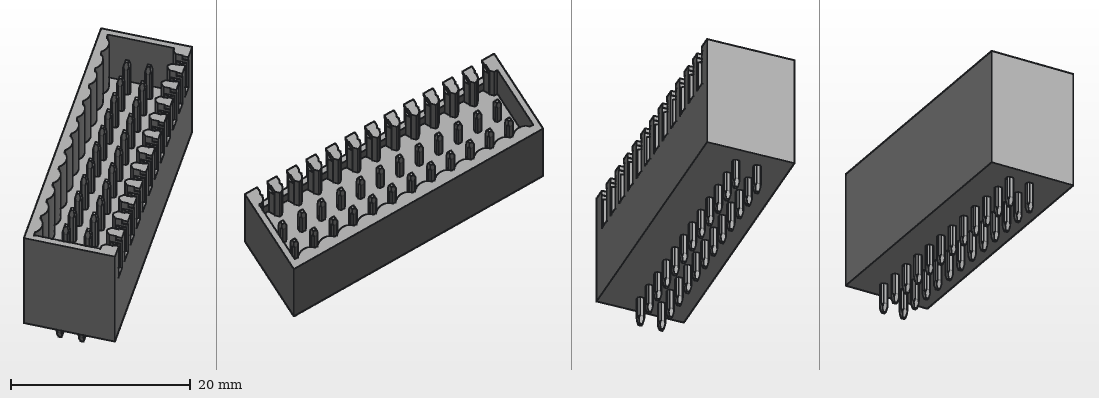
import cadquery as cq

LENGTH = 32.45
WIDTH = 10.5
HEIGHT = 14.2
END_WALL = 0.7
CLOSED_WALL = 0.97
CAVITY_FLOOR = 7.07

POSITIONS = 12
END_TO_END = 27.93
PITCH = END_TO_END / (POSITIONS - 1)
FIRST_ROW_X = 3.6
ROW_X = (FIRST_ROW_X, FIRST_ROW_X + PITCH)

BUMP_CHORD = 2.2
BUMP_RISE = 0.52

TOOTH_TIP_X = 8.63
TOOTH_CHAMFER = 0.4
SLOT_HALF = 0.75
SLOT_MOUTH_HALF = 0.65
SILL_X = 9.83
SILL_Z = 9.08
MOUTH_LIP_HEIGHT = 0.6

RIB_X = 9.73
RIB_HALF_BASE = 0.6
RIB_RISE = 0.32
RIB_TOP_DROP = 1.1

PIN_SIZE = 0.8
PIN_EDGE_CHAMFER = 0.2
PIN_TIP_SIZE = 0.35
PIN_POINT_LENGTH = 1.0
PIN_BOTTOM = -3.5
PIN_TOP = 12.2


def prism(points, bottom, top):
    """Extrude a closed plan outline between two heights."""
    return cq.Workplane("XY").workplane(offset=bottom).polyline(points).close().extrude(top - bottom)


def block(x_start, x_end, half_width, bottom, top):
    """Rectangular block centred on Y = 0."""
    size = (x_end - x_start, 2 * half_width, top - bottom)
    corner = (x_start, -half_width, bottom)
    return cq.Workplane("XY").box(*size, centered=False).translate(corner)


def at_each_position(feature, x=0):
    """Copies of a feature, made around Y = 0, at every contact position."""
    solid = feature.val()
    return (
        cq.Workplane("XY")
        .center(x, 0)
        .rarray(0.32, PITCH, 1, POSITIONS)
        .eachpoint(lambda place: solid.moved(place))
    )


def wall_bump():
    half = BUMP_CHORD / 2
    return (
        cq.Workplane("XY")
        .workplane(offset=CAVITY_FLOOR)
        .moveTo(CLOSED_WALL, -half)
        .threePointArc((CLOSED_WALL + BUMP_RISE, 0), (CLOSED_WALL, half))
        .close()
        .extrude(HEIGHT - CAVITY_FLOOR)
    )


def slot():
    """Slot through the +X wall, flared into the cavity and closed by a sill near its foot."""
    flare_end = TOOTH_TIP_X + TOOTH_CHAMFER
    flare_half = SLOT_HALF + TOOTH_CHAMFER
    inner = prism(
        [
            (TOOTH_TIP_X, -flare_half),
            (flare_end, -SLOT_HALF),
            (SILL_X, -SLOT_HALF),
            (SILL_X, SLOT_HALF),
            (flare_end, SLOT_HALF),
            (TOOTH_TIP_X, flare_half),
        ],
        CAVITY_FLOOR,
        HEIGHT,
    )
    outer = block(SILL_X, WIDTH, SLOT_HALF, SILL_Z, HEIGHT - MOUTH_LIP_HEIGHT)
    mouth = block(SILL_X, WIDTH, SLOT_MOUTH_HALF, SILL_Z, HEIGHT)
    return inner.union(outer).union(mouth)


def slot_rib(side):
    """Rib on one flank of a slot; side is +1 or -1."""
    flank = side * SLOT_HALF
    return prism(
        [
            (RIB_X - RIB_HALF_BASE, flank),
            (RIB_X, flank - side * RIB_RISE),
            (RIB_X + RIB_HALF_BASE, flank),
        ],
        CAVITY_FLOOR,
        HEIGHT - RIB_TOP_DROP,
    )


def pin_point(height, length):
    """Square frustum tapering from the full pin size to the tip; negative length points down."""
    direction = 1 if length > 0 else -1
    return (
        cq.Workplane(cq.Plane((0, 0, height), xDir=(1, 0, 0), normal=(0, 0, direction)))
        .rect(PIN_SIZE, PIN_SIZE)
        .workplane(offset=abs(length))
        .rect(PIN_TIP_SIZE, PIN_TIP_SIZE)
        .loft()
    )


def make_pin():
    shank_bottom = PIN_BOTTOM + PIN_POINT_LENGTH
    shank_top = PIN_TOP - PIN_POINT_LENGTH
    half = PIN_SIZE / 2
    pointed = (
        block(-half, half, half, shank_bottom, shank_top)
        .union(pin_point(shank_top, PIN_POINT_LENGTH))
        .union(pin_point(shank_bottom, -PIN_POINT_LENGTH))
    )
    wire = block(-half, half, half, PIN_BOTTOM, PIN_TOP).edges("|Z").chamfer(PIN_EDGE_CHAMFER)
    return wire.intersect(pointed)


cavity = block(CLOSED_WALL, TOOTH_TIP_X, LENGTH / 2 - END_WALL, CAVITY_FLOOR, HEIGHT)
result = block(0, WIDTH, LENGTH / 2, 0, HEIGHT).cut(cavity)

result = result.union(at_each_position(wall_bump())).cut(at_each_position(slot()))
for flank_side in (-1, 1):
    result = result.union(at_each_position(slot_rib(flank_side)))
for row in ROW_X:
    result = result.union(at_each_position(make_pin(), row))